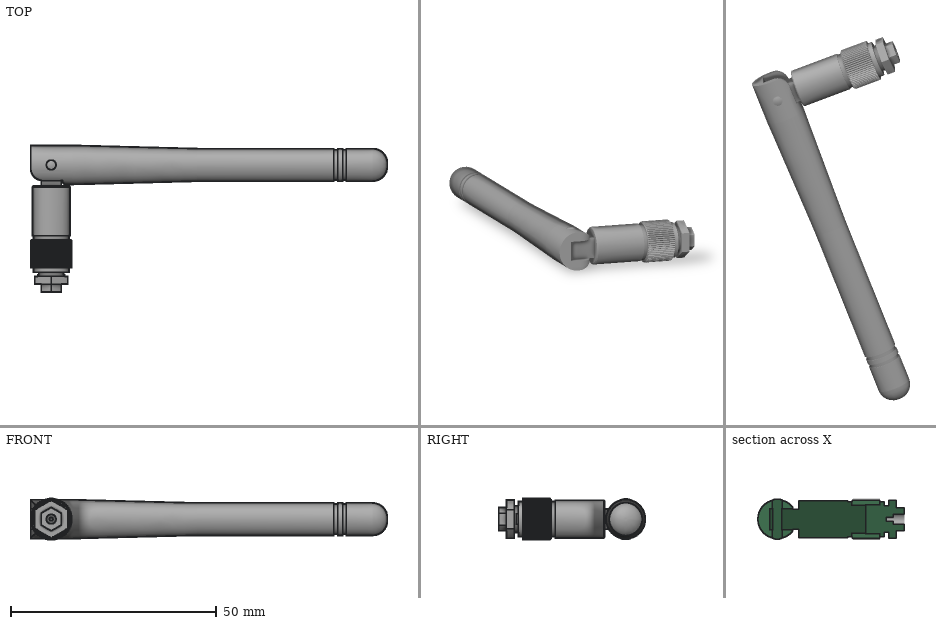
import cadquery as cq
import math

total_length = 87.0
total_drop = 35.8

head_end = 5.05
head_radius = 4.8
taper_start = 5.2
taper_end = 35.6
rod_radius = 4.0
tip_x = total_length - head_end
tip_fillet = 3.65
groove_spans = [(68.9, 69.9), (71.0, 71.9)]
groove_depth = 0.3

slot_top = 1.8
slot_thickness = 5.0
slot_end_x = 2.7
relief_y = -3.8
head_corner_radius = 3.05
relief_lip_radius = head_radius + relief_y
cut_reach = 2 * head_radius

pin_radius = 1.175
pin_edge_z = 4.7
dome_height = 0.3

barrel_top = 5.1
barrel_end = 17.2
nut_top = 18.2
nut_end = 25.05
collar_end = 26.2
flats_end = 26.7
hex_top = 27.15
tip_hex_top = 29.1
connector_end = total_drop - head_radius

neck_width = 5.0
barrel_radius = 4.6
barrel_chamfer = 0.3
shoulder_radius = 4.35
spigot_radius = 3.5

nut_radius = head_end
nut_chamfer = 0.35
knurl_count = 60
knurl_depth = 0.35

collar_radius = 4.35
shank_radius = 3.3
shank_flat_half = 3.05
hex_flats = 8.1
tip_hex_flats = 5.0
bore_radius = 1.175
bore_depth = 2.6
contact_radius = 0.4
contact_depth = 1.7

nut_middle = (nut_top + nut_end) / 2


def arm_cylinder(radius, start, end):
    """Cylinder on the arm axis between two stations."""
    return cq.Workplane("XZ", origin=(0, -start, 0)).circle(radius).extrude(end - start)


def arm_hexagon(flats, start, end):
    """Hexagonal prism on the arm axis with two flats facing +X and -X."""
    corner_angles = [i * math.pi / 3 for i in range(6)]
    corner_radius = flats / math.sqrt(3)
    corners = [(corner_radius * math.sin(a), corner_radius * math.cos(a)) for a in corner_angles]
    return cq.Workplane("XZ", origin=(0, -start, 0)).polyline(corners).close().extrude(end - start)


def pin_hole():
    """Cutter for the hinge pin's hole, along Z."""
    return cq.Workplane("XY").circle(pin_radius).extrude(cut_reach, both=True)


def make_antenna():
    outline = cq.Workplane("XY").moveTo(-head_end, 0).lineTo(-head_end, head_radius)
    outline = outline.lineTo(taper_start, head_radius).lineTo(taper_end, rod_radius)
    for start, end in groove_spans:
        outline = outline.lineTo(start, rod_radius).lineTo(start, rod_radius - groove_depth)
        outline = outline.lineTo(end, rod_radius - groove_depth).lineTo(end, rod_radius)
    outline = outline.lineTo(tip_x - tip_fillet, rod_radius)
    outline = outline.tangentArcPoint((tip_x, rod_radius - tip_fillet), relative=False)
    outline = outline.lineTo(tip_x, 0).close()
    body = outline.revolve(360, (0, 0, 0), (1, 0, 0))

    relief = (
        cq.Workplane("XY")
        .moveTo(-head_end, relief_y + head_corner_radius)
        .radiusArc((-head_end + head_corner_radius, relief_y), -head_corner_radius)
        .lineTo(slot_end_x, relief_y)
        .radiusArc((slot_end_x + relief_lip_radius, -head_radius), -relief_lip_radius)
        .lineTo(slot_end_x + relief_lip_radius, -cut_reach)
        .lineTo(-head_end, -cut_reach)
        .close()
        .extrude(cut_reach, both=True)
    )

    slot = (
        cq.Workplane("XY")
        .moveTo(-head_end, slot_top)
        .lineTo(slot_end_x, slot_top)
        .lineTo(slot_end_x, -head_radius)
        .lineTo(-head_end, -head_radius)
        .close()
        .extrude(slot_thickness / 2, both=True)
    )
    return body.cut(relief).cut(slot).cut(pin_hole())


def make_pin():
    dome_radius = (pin_radius**2 + dome_height**2) / (2 * dome_height)
    half = (
        cq.Workplane("XZ")
        .lineTo(pin_radius, 0)
        .lineTo(pin_radius, pin_edge_z)
        .radiusArc((0, pin_edge_z + dome_height), -dome_radius)
        .close()
        .revolve(360, (0, 0, 0), (0, 1, 0))
    )
    return half.union(half.mirror("XY"))


def make_arm():
    neck_radius = neck_width / 2
    neck_round_y = slot_top - neck_radius
    neck = (
        cq.Workplane("XY")
        .moveTo(-neck_radius, -barrel_top)
        .lineTo(-neck_radius, neck_round_y)
        .threePointArc((0, slot_top), (neck_radius, neck_round_y))
        .lineTo(neck_radius, -barrel_top)
        .close()
        .extrude(slot_thickness / 2, both=True)
        .cut(pin_hole())
    )
    barrel = arm_cylinder(barrel_radius, barrel_top, barrel_end).faces(">Y").chamfer(barrel_chamfer)
    shoulder = arm_cylinder(shoulder_radius, barrel_end, nut_top)
    spigot = arm_cylinder(spigot_radius, nut_top, nut_middle)
    return neck.union(barrel).union(shoulder).union(spigot)


def make_nut():
    nut = arm_cylinder(nut_radius, nut_top, nut_end).faces(">Y").chamfer(nut_chamfer)
    nut = nut.cut(arm_cylinder(spigot_radius, nut_top, nut_end))

    root_radius = nut_radius - knurl_depth
    mouth_radius = nut_radius + knurl_depth / 2
    half_pitch = math.pi / knurl_count
    grooves = cq.Workplane("XZ", origin=(0, -nut_top, 0))
    for i in range(knurl_count):
        middle = 2 * half_pitch * i
        left = middle - half_pitch
        right = middle + half_pitch
        grooves = grooves.polyline(
            [
                (root_radius * math.cos(middle), root_radius * math.sin(middle)),
                (mouth_radius * math.cos(left), mouth_radius * math.sin(left)),
                (mouth_radius * math.cos(right), mouth_radius * math.sin(right)),
            ]
        ).close()
    return nut.cut(grooves.extrude(nut_end - nut_top))


def make_connector():
    spigot = arm_cylinder(spigot_radius, nut_middle, nut_end)
    collar = arm_cylinder(collar_radius, nut_end, collar_end)

    flat_shank = arm_cylinder(shank_radius, collar_end, flats_end).intersect(
        cq.Workplane("XY").box(2 * shank_flat_half, 2 * total_drop, 2 * shank_radius)
    )
    round_shank = arm_cylinder(shank_radius, flats_end, hex_top)

    main_hex = arm_hexagon(hex_flats, hex_top, tip_hex_top)
    tip_hex = arm_hexagon(tip_hex_flats, tip_hex_top, connector_end)
    connector = spigot
    for part in (collar, flat_shank, round_shank, main_hex, tip_hex):
        connector = connector.union(part)

    bore_floor = connector_end - bore_depth
    connector = connector.cut(arm_cylinder(bore_radius, bore_floor, connector_end))
    return connector.cut(arm_cylinder(contact_radius, bore_floor - contact_depth, bore_floor))


antenna = make_antenna()
pin = make_pin()
arm = make_arm()
nut = make_nut()
connector = make_connector()

result = cq.Compound.makeCompound(
    [antenna.val(), pin.val(), arm.val(), nut.val(), connector.val()]
)